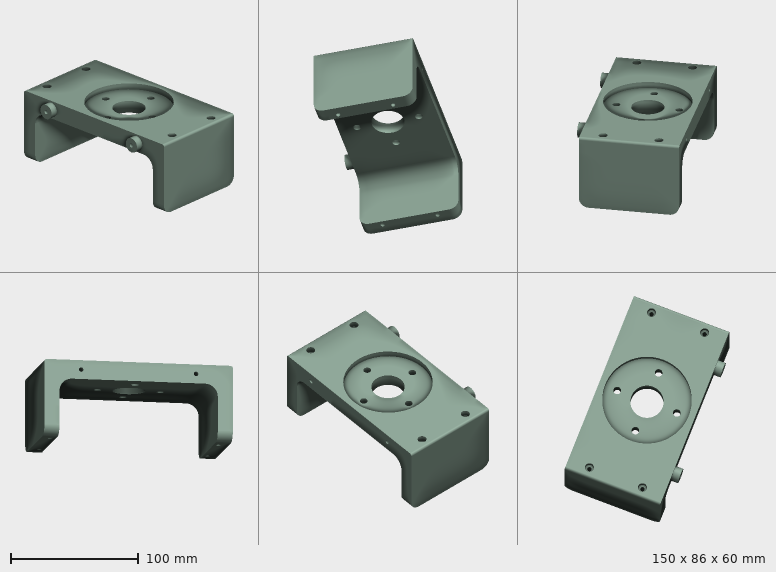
import cadquery as cq

length = 150.0
width = 80.0
height = 60.0
plate_thickness = 15.0
leg_thickness = 12.0
top_edge_radius = 2.0
inner_corner_radius = 10.0
leg_corner_radius = 7.8

seat_diameter = 70.0
seat_depth = 5.0
bore_diameter = 26.0
bolt_hole_diameter = 6.0
bolt_circle_radius = 25.0
bolt_count = 4

screw_hole_diameter = 3.5
screw_head_diameter = 7.0
screw_head_depth = 5.0
screw_edge_distance = 8.0
screw_spacing_x = length - 2 * screw_edge_distance
screw_spacing_y = 44.5

boss_diameter = 12.0
boss_length = 6.0
boss_hole_diameter = 3.5
boss_spacing = 91.5


def make_bracket():
    """U-shaped body with its inner, top and leg corners rounded."""
    body = cq.Workplane("XY").box(length, width, height, centered=(True, True, False))
    body = body.translate((0, 0, -height))
    body = body.edges("|Y and >Z").fillet(top_edge_radius)
    body = body.edges("|X and <Z").fillet(leg_corner_radius)

    opening_height = height - plate_thickness
    opening = cq.Workplane("XY").box(
        length - 2 * leg_thickness, width, opening_height, centered=(True, True, False)
    )
    opening = opening.translate((0, 0, -height))
    opening = opening.edges("|Y and >Z").fillet(inner_corner_radius)
    return body.cut(opening)


def cut_seat(body):
    """Round recess, central bore and a circle of bolt holes."""
    top = cq.Workplane("XY")
    body = body.cut(top.circle(seat_diameter / 2).extrude(-seat_depth))
    body = body.cut(top.circle(bore_diameter / 2).extrude(-plate_thickness))
    bolts = top.polarArray(bolt_circle_radius, 0, 360, bolt_count).circle(bolt_hole_diameter / 2)
    return body.cut(bolts.extrude(-plate_thickness))


def cut_screw_holes(body):
    """Four holes through the full height of the legs, counterbored from the top."""
    places = cq.Workplane("XY").rarray(screw_spacing_x, screw_spacing_y, 2, 2)
    body = body.cut(places.circle(screw_hole_diameter / 2).extrude(-height))
    return body.cut(places.circle(screw_head_diameter / 2).extrude(-screw_head_depth))


def add_bosses(body):
    """Two bosses on the front face at mid-plate height, drilled through the whole plate."""
    front_face = cq.Workplane("XZ", origin=(0, -width / 2, -plate_thickness / 2))
    boss_end = front_face.workplane(offset=boss_length)
    hole_length = width + boss_length
    bosses = front_face.rarray(boss_spacing, 1, 2, 1).circle(boss_diameter / 2).extrude(boss_length)
    holes = boss_end.rarray(boss_spacing, 1, 2, 1).circle(boss_hole_diameter / 2).extrude(-hole_length)
    return body.union(bosses).cut(holes)


result = add_bosses(cut_screw_holes(cut_seat(make_bracket())))